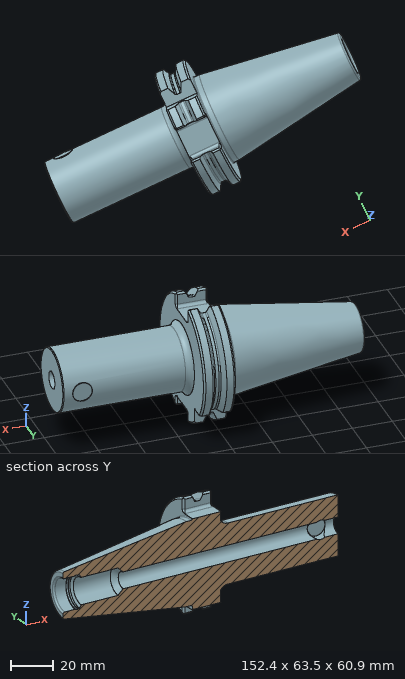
import cadquery as cq
import math


TOTAL_LENGTH = 152.4

TAPER_PER_LENGTH = 7 / 24
GAUGE_RADIUS = 22.2
GAUGE_X = 68.3
TAPER_TIP_RADIUS = GAUGE_RADIUS - GAUGE_X * TAPER_PER_LENGTH / 2
TIP_FILLET = 0.9

NECK_LENGTH = 3.2
NECK_FILLET = 0.5
FLANGE_WIDTH = 16.0
FLANGE_RADIUS = 31.76
FLANGE_CHAMFER = 0.9
FLANGE_FRONT_X = GAUGE_X + NECK_LENGTH
FLANGE_BACK_X = FLANGE_FRONT_X + FLANGE_WIDTH

GROOVE_CENTER_X = FLANGE_FRONT_X + FLANGE_WIDTH / 2
GROOVE_WIDTH = 6.9
GROOVE_FLOOR_RADIUS = 28.2
GROOVE_HALF_ANGLE = math.radians(30)
GROOVE_FILLET = 0.9

SLOT_WIDTH = 16.1
SLOT_FILLET = 1.5
SLOT_CHAMFER = 0.9
CUT_MARGIN = 0.8
TOP_SLOT_FLOOR_Z = 22.9
BOTTOM_SLOT_FLOOR_Z = -24.5
NOTCH_CORNER = 18.1

SHANK_RADIUS = 16.0
SHANK_CHAMFER = 0.5
FLARE_LENGTH = 3.7
FLARE_RADIUS = 18.1

PILOT_RADIUS = 8.5
PILOT_DEPTH = 9.1
RELIEF_RADIUS = 8.8
RELIEF_START_X = 7.0
RELIEF_END_X = 8.2
COUNTERSINK_HALF_ANGLE = math.radians(60)
THREAD_RADIUS = 7.0
THREAD_END_X = 30.5
COOLANT_RADIUS = 4.3

SCREW_X = 142.6
SCREW_RADIUS = 4.9
SCREW_TOP_Y = 15.7
SCREW_TIP_Y = COOLANT_RADIUS


def holder_blank():
    """Taper, neck, grooved flange, shank and stepped bore turned as one solid."""
    flare_height = FLARE_RADIUS - SHANK_RADIUS
    arc_radius = (FLARE_LENGTH**2 + flare_height**2) / (2 * flare_height)
    half_turn = math.asin(FLARE_LENGTH / arc_radius) / 2
    flare_end_x = FLANGE_BACK_X + FLARE_LENGTH
    flare_middle = (
        flare_end_x - arc_radius * math.sin(half_turn),
        SHANK_RADIUS + arc_radius * (1 - math.cos(half_turn)),
    )
    fillet_middle = (
        FLANGE_FRONT_X - NECK_FILLET * (1 - math.sqrt(0.5)),
        GAUGE_RADIUS + NECK_FILLET * (1 - math.sqrt(0.5)),
    )
    countersink_length = (PILOT_RADIUS - THREAD_RADIUS) / math.tan(COUNTERSINK_HALF_ANGLE)

    groove_half_width = GROOVE_WIDTH / 2
    floor = GROOVE_FLOOR_RADIUS
    turn = math.pi / 2 - GROOVE_HALF_ANGLE
    sharp_corner = groove_half_width - (FLANGE_RADIUS - floor) * math.tan(GROOVE_HALF_ANGLE)
    floor_end = sharp_corner - GROOVE_FILLET * math.tan(turn / 2)
    flank_end = floor_end + GROOVE_FILLET * math.sin(turn)
    flank_end_radius = floor + GROOVE_FILLET * (1 - math.cos(turn))
    arc_middle = floor_end + GROOVE_FILLET * math.sin(turn / 2)
    arc_middle_radius = floor + GROOVE_FILLET * (1 - math.cos(turn / 2))

    profile = (
        cq.Workplane("XZ")
        .moveTo(0, PILOT_RADIUS)
        .lineTo(0, TAPER_TIP_RADIUS)
        .lineTo(GAUGE_X, GAUGE_RADIUS)
        .lineTo(FLANGE_FRONT_X - NECK_FILLET, GAUGE_RADIUS)
        .threePointArc(fillet_middle, (FLANGE_FRONT_X, GAUGE_RADIUS + NECK_FILLET))
        .lineTo(FLANGE_FRONT_X, FLANGE_RADIUS - FLANGE_CHAMFER)
        .lineTo(FLANGE_FRONT_X + FLANGE_CHAMFER, FLANGE_RADIUS)
        .lineTo(GROOVE_CENTER_X - groove_half_width, FLANGE_RADIUS)
        .lineTo(GROOVE_CENTER_X - flank_end, flank_end_radius)
        .threePointArc(
            (GROOVE_CENTER_X - arc_middle, arc_middle_radius),
            (GROOVE_CENTER_X - floor_end, floor),
        )
        .lineTo(GROOVE_CENTER_X + floor_end, floor)
        .threePointArc(
            (GROOVE_CENTER_X + arc_middle, arc_middle_radius),
            (GROOVE_CENTER_X + flank_end, flank_end_radius),
        )
        .lineTo(GROOVE_CENTER_X + groove_half_width, FLANGE_RADIUS)
        .lineTo(FLANGE_BACK_X - FLANGE_CHAMFER, FLANGE_RADIUS)
        .lineTo(FLANGE_BACK_X, FLANGE_RADIUS - FLANGE_CHAMFER)
        .lineTo(FLANGE_BACK_X, FLARE_RADIUS)
        .threePointArc(flare_middle, (flare_end_x, SHANK_RADIUS))
        .lineTo(TOTAL_LENGTH - SHANK_CHAMFER, SHANK_RADIUS)
        .lineTo(TOTAL_LENGTH, SHANK_RADIUS - SHANK_CHAMFER)
        .lineTo(TOTAL_LENGTH, COOLANT_RADIUS)
        .lineTo(THREAD_END_X + THREAD_RADIUS - COOLANT_RADIUS, COOLANT_RADIUS)
        .lineTo(THREAD_END_X, THREAD_RADIUS)
        .lineTo(PILOT_DEPTH + countersink_length, THREAD_RADIUS)
        .lineTo(PILOT_DEPTH, PILOT_RADIUS)
        .lineTo(RELIEF_END_X, PILOT_RADIUS)
        .lineTo(RELIEF_END_X, RELIEF_RADIUS)
        .lineTo(RELIEF_START_X, RELIEF_RADIUS)
        .lineTo(RELIEF_START_X, PILOT_RADIUS)
        .close()
    )
    blank = profile.revolve(360, (0, 0, 0), (1, 0, 0))
    return blank.faces("<X").edges().fillet(TIP_FILLET)


def drive_slot(floor_z):
    """Slot across the flange with flared mouths, open on the side of the axis where floor_z lies."""
    side = math.copysign(1, floor_z)
    half_width = SLOT_WIDTH / 2
    half_mouth = half_width + SLOT_CHAMFER
    half_length = FLANGE_WIDTH / 2
    height = FLANGE_RADIUS + CUT_MARGIN - abs(floor_z)
    slot = (
        cq.Workplane("XY", origin=(GROOVE_CENTER_X, 0, floor_z))
        .moveTo(0, half_width)
        .lineTo(half_length - SLOT_CHAMFER, half_width)
        .lineTo(half_length, half_mouth)
        .lineTo(half_length + CUT_MARGIN, half_mouth)
        .lineTo(half_length + CUT_MARGIN, 0)
        .mirrorX()
        .mirrorY()
        .extrude(side * height)
    )
    floor_edges = slot.faces("<Z" if side > 0 else ">Z").edges("not |Y")
    return floor_edges.fillet(SLOT_FILLET)


def slot_rim_chamfer(side):
    """Wedge that breaks the slot's two edges on the flange rim; side is +1 for the top slot."""
    half_width = SLOT_WIDTH / 2
    half_mouth = half_width + SLOT_CHAMFER
    rim_z = math.sqrt(FLANGE_RADIUS**2 - half_mouth**2)
    wedge = (
        cq.Workplane("YZ", origin=(FLANGE_FRONT_X - CUT_MARGIN, 0, 0))
        .moveTo(half_width, side * (rim_z - SLOT_CHAMFER))
        .lineTo(half_mouth + CUT_MARGIN, side * (rim_z + CUT_MARGIN))
        .lineTo(-half_mouth - CUT_MARGIN, side * (rim_z + CUT_MARGIN))
        .lineTo(-half_width, side * (rim_z - SLOT_CHAMFER))
        .close()
    )
    return wedge.extrude(FLANGE_WIDTH + 2 * CUT_MARGIN)


def orientation_notch():
    """Square corner taken out of the flange on its +Y, -Z side."""
    length = FLANGE_WIDTH + 2 * CUT_MARGIN
    return (
        cq.Workplane("XY")
        .box(length, FLANGE_RADIUS, FLANGE_RADIUS, centered=(True, False, False))
        .translate((GROOVE_CENTER_X, NOTCH_CORNER, -NOTCH_CORNER - FLANGE_RADIUS))
    )


def radial_cylinder(start_y, end_y):
    """Cylinder of the screw's radius, along Y at the screw's place."""
    return cq.Workplane(
        cq.Solid.makeCylinder(
            SCREW_RADIUS, end_y - start_y, cq.Vector(SCREW_X, start_y, 0), cq.Vector(0, 1, 0)
        )
    )


def make_holder():
    """Turned blank with its slots, notch and screw hole."""
    holder = holder_blank()
    for floor_z in (TOP_SLOT_FLOOR_Z, BOTTOM_SLOT_FLOOR_Z):
        holder = holder.cut(drive_slot(floor_z))
        holder = holder.cut(slot_rim_chamfer(math.copysign(1, floor_z)))
    return holder.cut(orientation_notch()).cut(radial_cylinder(0, SHANK_RADIUS))


def make_set_screw():
    """Plain screw that reaches from just below the shank surface to the bore."""
    return radial_cylinder(SCREW_TIP_Y, SCREW_TOP_Y)


holder = make_holder()
set_screw = make_set_screw()

result = cq.Compound.makeCompound([holder.val(), set_screw.val()])